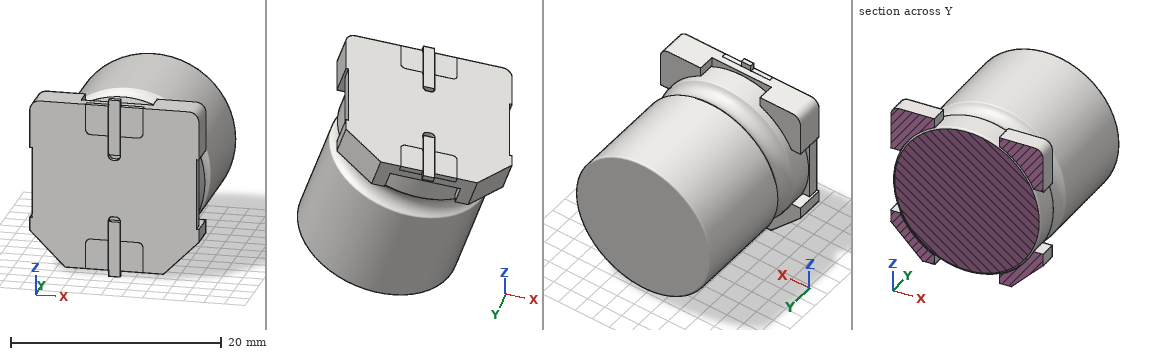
import cadquery as cq
import math


TOTAL_HEIGHT = 17.0
LEAD_SPAN = 17.7

CAN_RADIUS = 8.0
CAN_EDGE_FILLET = 0.2
CRIMP_HEIGHT = 5.0
CRIMP_RADIUS = 1.4
CRIMP_DEPTH = 0.8

BASE_WIDTH = 16.5
BASE_HEIGHT = 3.01
FLOOR_HEIGHT = 1.2
CORNER_RADIUS = 1.0
CORNER_CHAMFER = 3.45
NOTCH_WIDTH = 7.0

LEAD_THICKNESS = 0.5
LEAD_WIDTH = 1.1
LEAD_LENGTH = 5.5
SLOT_WIDTH = 1.2
SLOT_END = 2.83
INNER_CORNER_RADIUS = 0.5
PAD_SPAN = 5.6
PAD_LENGTH = 3.01

BASE_HALF = BASE_WIDTH / 2
SIDES = (1, -1)


def block(x_range, y_range, z_range):
    """Axis-aligned box between the given limits."""
    (x0, x1), (y0, y1), (z0, z1) = x_range, y_range, z_range
    return cq.Workplane("XY").box(x1 - x0, y1 - y0, z1 - z0, centered=False).translate((x0, y0, z0))


def mirrored_range(near, far, side):
    """Limits from near to far, on the positive (1) or negative (-1) side of zero."""
    return tuple(sorted((side * near, side * far)))


def make_can():
    """Can turned about Y: cylinder with rounded ends and a round crimp groove."""
    half_mouth = math.sqrt(CRIMP_RADIUS**2 - (CRIMP_RADIUS - CRIMP_DEPTH) ** 2)
    profile = (
        cq.Workplane("XY")
        .moveTo(0, FLOOR_HEIGHT)
        .lineTo(CAN_RADIUS, FLOOR_HEIGHT)
        .lineTo(CAN_RADIUS, CRIMP_HEIGHT - half_mouth)
        .threePointArc((CAN_RADIUS - CRIMP_DEPTH, CRIMP_HEIGHT), (CAN_RADIUS, CRIMP_HEIGHT + half_mouth))
        .lineTo(CAN_RADIUS, TOTAL_HEIGHT)
        .lineTo(0, TOTAL_HEIGHT)
        .close()
    )
    can = profile.revolve(360, (0, 0, 0), (0, 1, 0))
    return can.edges("%CIRCLE").edges(cq.selectors.RadiusNthSelector(-1)).fillet(CAN_EDGE_FILLET)


def make_lead(side):
    """Flat bar from inside the slot to beyond the edge of the base."""
    tip = LEAD_SPAN / 2
    return block(
        (-LEAD_WIDTH / 2, LEAD_WIDTH / 2),
        (0, LEAD_THICKNESS),
        mirrored_range(tip - LEAD_LENGTH, tip, side),
    )


def make_pad(side, hand):
    """Pad beside a lead slot, flush with the base; hand is its side of the lead."""
    inner_end = BASE_HALF - PAD_LENGTH
    pad = block(
        mirrored_range(SLOT_WIDTH / 2, PAD_SPAN / 2, hand),
        (0, LEAD_THICKNESS),
        mirrored_range(inner_end, BASE_HALF, side),
    )
    corner = cq.selectors.NearestToPointSelector((hand * PAD_SPAN / 2, LEAD_THICKNESS / 2, side * inner_end))
    return pad.edges("|Y").edges(corner).fillet(INNER_CORNER_RADIUS)


def make_lead_slot(side):
    """Cutter for a lead slot: open at the base edge, with two rounded inner corners."""
    slot = block(
        (-SLOT_WIDTH / 2, SLOT_WIDTH / 2),
        (0, LEAD_THICKNESS),
        mirrored_range(SLOT_END, BASE_HALF, side),
    )
    inner_edges = "|Y and <Z" if side > 0 else "|Y and >Z"
    return slot.edges(inner_edges).fillet(INNER_CORNER_RADIUS)


def make_base(pads):
    """Base with four corner posts, a round can seat, lead slots and pad pockets."""
    base = block((-BASE_HALF, BASE_HALF), (0, BASE_HEIGHT), (-BASE_HALF, BASE_HALF))
    base = base.edges("|Y and >Z").fillet(CORNER_RADIUS)
    base = base.edges("|Y and <Z").chamfer(CORNER_CHAMFER)

    post_height = BASE_HEIGHT - FLOOR_HEIGHT
    seat_plane = cq.Workplane("XZ", origin=(0, FLOOR_HEIGHT, 0))
    base = base.cut(seat_plane.circle(CAN_RADIUS).extrude(-post_height))

    notch = (-NOTCH_WIDTH / 2, NOTCH_WIDTH / 2)
    full_width = (-BASE_HALF, BASE_HALF)
    above_floor = (FLOOR_HEIGHT, BASE_HEIGHT)
    base = base.cut(block(notch, above_floor, full_width))
    base = base.cut(block(full_width, above_floor, notch))

    for side in SIDES:
        trimmed_edge = mirrored_range(CAN_RADIUS, BASE_HALF, side)
        base = base.cut(block(trimmed_edge, (0, FLOOR_HEIGHT), notch))

    for side in SIDES:
        base = base.cut(make_lead_slot(side))
    for pad in pads:
        base = base.cut(pad)
    return base


can = make_can()
leads = [make_lead(side) for side in SIDES]
pads = [make_pad(side, hand) for side in SIDES for hand in SIDES]
base = make_base(pads)

result = cq.Compound.makeCompound([
    base.solids().val(),
    can.solids().val(),
    *[lead.val() for lead in leads],
    *[pad.val() for pad in pads],
])